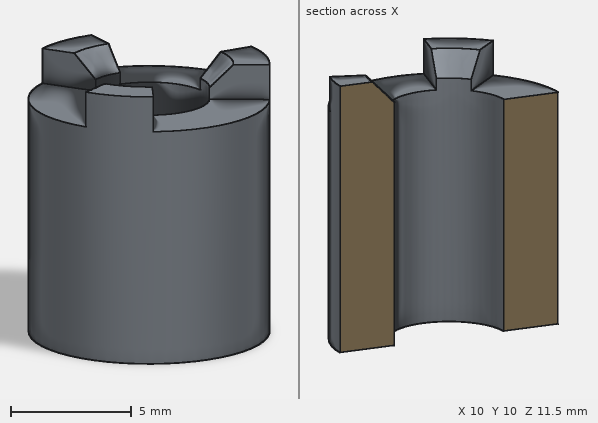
import cadquery as cq
import math

total_height = 11.5
outer_diameter = 10.0
bore_diameter = 5.0
lug_height = 1.5
lug_count = 3
lug_angle = 33.6
first_lug_direction = 90.0
chamfer_size = 1.0

body_height = total_height - lug_height
outer_radius = outer_diameter / 2
bore_radius = bore_diameter / 2


def lug_sector(direction):
    """Wedge with radial sides, reaching past the outer wall, at lug height."""
    reach = outer_diameter
    half_angle = lug_angle / 2
    corners = [(0, 0)]
    for angle in (direction - half_angle, direction + half_angle):
        radians = math.radians(angle)
        corners.append((reach * math.cos(radians), reach * math.sin(radians)))
    return cq.Workplane("XY").workplane(offset=body_height).polyline(corners).close().extrude(lug_height)


def lug_ring():
    """Ring whose inner top edge is chamfered, revolved about Z."""
    profile = [
        (bore_radius, body_height),
        (outer_radius, body_height),
        (outer_radius, total_height),
        (bore_radius + chamfer_size, total_height),
        (bore_radius, total_height - chamfer_size),
    ]
    return cq.Workplane("XZ").polyline(profile).close().revolve(360, (0, 0, 0), (0, 1, 0))


result = cq.Workplane("XY").circle(outer_radius).circle(bore_radius).extrude(body_height)

for index in range(lug_count):
    direction = first_lug_direction + index * 360 / lug_count
    result = result.union(lug_ring().intersect(lug_sector(direction)))